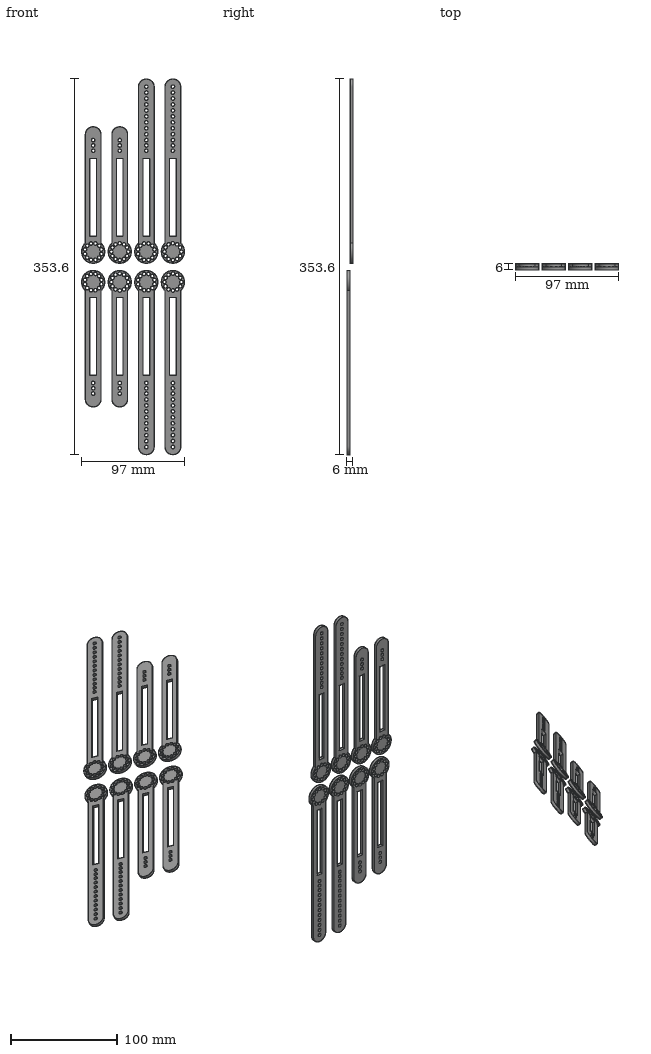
import cadquery as cq
import math


overall_width = 97.0
long_tip_z = 176.8
short_tip_z = 132.0
column_count = 4
arm_thickness = 3.0

disc_diameter = 22.0
half_disc_gap = 3.32
ring_diameter = 16.0
ring_hole_count = 12
ring_hole_angle = 360 / ring_hole_count
disc_z = half_disc_gap + disc_diameter / 2
column_pitch = (overall_width - disc_diameter) / (column_count - 1)

disc_overhang = 3.45
bar_width = disc_diameter - 2 * disc_overhang
slot_width = 6.0
slot_bottom_z = 29.0
slot_top_z = 101.8

hole_diameter = 3.1
first_hole_z = 109.2
near_hole_gap = 1.87
far_hole_gap = 2.5
near_hole_count = 3
far_hole_count = 9
near_pitch = hole_diameter + near_hole_gap
far_pitch = hole_diameter + far_hole_gap


def bar_plate(tip_z):
    """Straight bar from the disc centre to a fully rounded tip."""
    half_width = bar_width / 2
    shoulder_z = tip_z - half_width
    return (
        cq.Workplane("XZ")
        .moveTo(-half_width, disc_z)
        .lineTo(-half_width, shoulder_z)
        .threePointArc((0, tip_z), (half_width, shoulder_z))
        .lineTo(half_width, disc_z)
        .close()
        .extrude(-arm_thickness)
    )


def index_disc():
    """Round disc at the inner end of the bar."""
    return cq.Workplane("XZ").center(0, disc_z).circle(disc_diameter / 2).extrude(-arm_thickness)


def slot_cutter():
    """Square-ended slot through the bar."""
    slot_length = slot_top_z - slot_bottom_z
    return (
        cq.Workplane("XZ")
        .center(0, slot_bottom_z + slot_length / 2)
        .rect(slot_width, slot_length)
        .extrude(-arm_thickness)
    )


def ring_points(turn):
    """Hole centres around the disc, the first one turned from +Z by the given angle."""
    points = []
    for index in range(ring_hole_count):
        angle = math.radians(turn + index * ring_hole_angle)
        x = ring_diameter / 2 * math.sin(angle)
        z = disc_z + ring_diameter / 2 * math.cos(angle)
        points.append((x, z))
    return points


def row_points(has_far_holes):
    """Hole centres along the bar, with the far group only on a long arm."""
    heights = [first_hole_z + index * near_pitch for index in range(near_hole_count)]
    if has_far_holes:
        last_near_z = heights[-1]
        heights += [last_near_z + (index + 1) * far_pitch for index in range(far_hole_count)]
    return [(0, z) for z in heights]


def hole_cutter(points):
    """Round through holes at the given centres."""
    return cq.Workplane("XZ").pushPoints(points).circle(hole_diameter / 2).extrude(-arm_thickness)


def upper_arm(is_long, ring_turn):
    """One complete arm centred on X = 0, standing above Z = 0 with its front face on Y = 0."""
    tip_z = long_tip_z if is_long else short_tip_z
    plate = bar_plate(tip_z).union(index_disc())
    return (
        plate
        .cut(slot_cutter())
        .cut(hole_cutter(row_points(is_long)))
        .cut(hole_cutter(ring_points(ring_turn)))
    )


arms = []
for column in range(column_count):
    is_long = column >= column_count / 2
    ring_turn = ring_hole_angle / 2 if column % 2 == 0 else 0
    column_x = (column - (column_count - 1) / 2) * column_pitch
    arm = upper_arm(is_long, ring_turn).translate((column_x, 0, 0))
    lower_arm = arm.rotate((0, 0, 0), (1, 0, 0), 180)
    arms += [arm.val(), lower_arm.val()]

result = cq.Compound.makeCompound(arms)